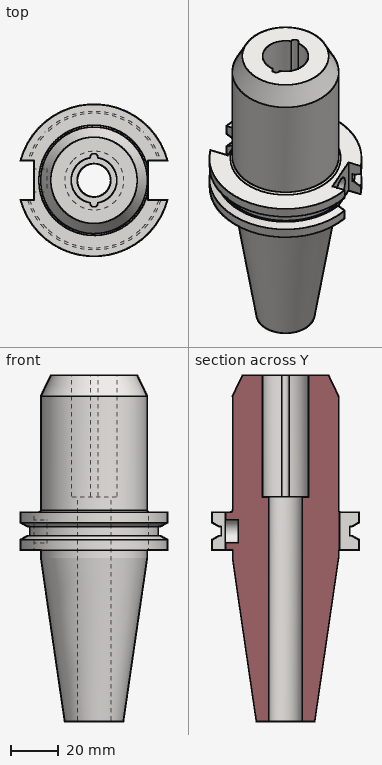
import cadquery as cq
import math


gauge_radius = 44.45 / 2
taper_length = 68.25
taper_on_diameter = 7 / 24
taper_end_radius = gauge_radius - taper_length * taper_on_diameter / 2

flange_radius = 63.5 / 2
flange_bottom = 3.175
flange_thickness = 15.875
flange_top = flange_bottom + flange_thickness
flange_middle = flange_bottom + flange_thickness / 2
groove_mouth_width = 7.1
groove_wall_angle = 30
groove_wall_end_radius = 28.9
groove_neck_radius = 28.1
groove_wall_height = (flange_radius - groove_wall_end_radius) * math.tan(math.radians(groove_wall_angle))
groove_floor_width = groove_mouth_width - 2 * groove_wall_height

nose_length = 76.2
nose_radius = gauge_radius
nose_tip_radius = 36 / 2
nose_cone_height = 8.8
nose_root_fillet = 0.8

slot_width = 16.38
shallow_slot_face = 25.1
deep_slot_face = 22.6
dimple_diameter = 9.5
dimple_depth = 5.4

bore_radius = 19.05 / 2
bore_depth = 50.8
through_radius = 13.8 / 2
coolant_groove_radius = 1.6
coolant_groove_offset = bore_radius


def make_body():
    """Revolved shank, flange and nose."""
    groove_bottom = flange_middle - groove_floor_width / 2
    groove_top = flange_middle + groove_floor_width / 2
    profile = (
        cq.Workplane("XZ")
        .moveTo(0, -taper_length)
        .lineTo(taper_end_radius, -taper_length)
        .lineTo(gauge_radius, 0)
        .lineTo(gauge_radius, flange_bottom)
        .lineTo(flange_radius, flange_bottom)
        .lineTo(flange_radius, groove_bottom - groove_wall_height)
        .lineTo(groove_wall_end_radius, groove_bottom)
        .lineTo(groove_neck_radius, groove_bottom)
        .lineTo(groove_neck_radius, groove_top)
        .lineTo(groove_wall_end_radius, groove_top)
        .lineTo(flange_radius, groove_top + groove_wall_height)
        .lineTo(flange_radius, flange_top)
        .lineTo(nose_radius + nose_root_fillet, flange_top)
        .radiusArc((nose_radius, flange_top + nose_root_fillet), nose_root_fillet)
        .lineTo(nose_radius, nose_length - nose_cone_height)
        .lineTo(nose_tip_radius, nose_length)
        .lineTo(0, nose_length)
        .close()
    )
    return profile.revolve(360, (0, 0, 0), (0, 1, 0))


def make_drive_slot(face_distance, side):
    """Slot cutter outside the face at x = side * face_distance, through the flange thickness."""
    depth = flange_radius - face_distance
    height = flange_thickness + nose_root_fillet
    return (
        cq.Workplane("XY")
        .box(depth, slot_width, height, centered=(True, True, False))
        .translate((side * (face_distance + depth / 2), 0, flange_bottom))
    )


def make_dimple():
    """Blind round hole in the face of the shallow slot on the -X side."""
    return (
        cq.Workplane("YZ", origin=(-shallow_slot_face, 0, flange_middle))
        .circle(dimple_diameter / 2)
        .extrude(dimple_depth)
    )


def make_bore():
    """Stepped bore with two coolant grooves along its wide part."""
    bore_bottom = cq.Workplane("XY").workplane(offset=nose_length - bore_depth)
    bore = bore_bottom.circle(bore_radius).extrude(bore_depth)
    coolant_grooves = (
        bore_bottom
        .pushPoints([(0, coolant_groove_offset), (0, -coolant_groove_offset)])
        .circle(coolant_groove_radius)
        .extrude(bore_depth)
    )
    through_hole = (
        cq.Workplane("XY")
        .workplane(offset=-taper_length)
        .circle(through_radius)
        .extrude(taper_length + nose_length)
    )
    return bore.union(coolant_grooves).union(through_hole)


result = (
    make_body()
    .cut(make_drive_slot(shallow_slot_face, -1))
    .cut(make_drive_slot(deep_slot_face, 1))
    .cut(make_dimple())
    .cut(make_bore())
)